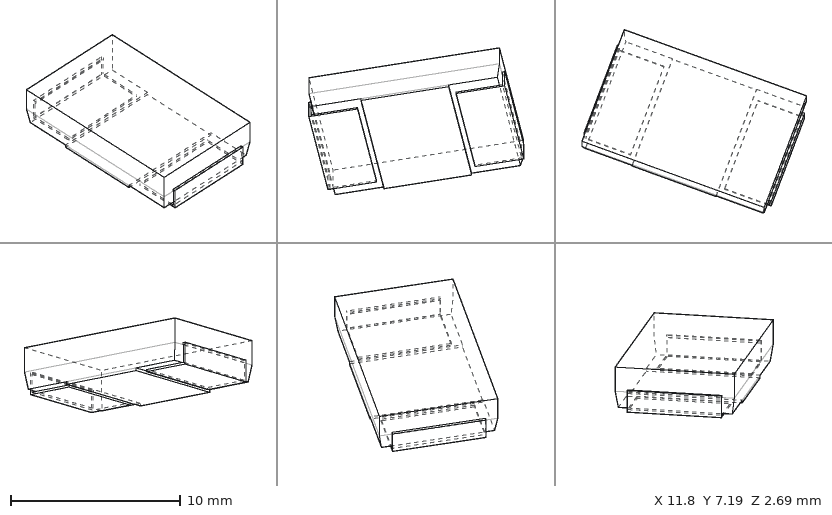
import cadquery as cq

total_length = 11.81
total_height = 2.69

housing_width = 7.19
housing_end_inset = 0.16
housing_length = total_length - 2 * housing_end_inset
taper_inset = 0.16
taper_top = 1.2
foot_height = 0.17
foot_length = 5.29
underside_length = housing_length - 2 * taper_inset
underside_width = housing_width - 2 * taper_inset

terminal_thickness = 0.13
terminal_width = 5.68
terminal_reach = 2.94
terminal_height = taper_top + terminal_thickness


def make_housing():
    """Moulded housing with its foot, as one solid."""
    upper_block = (
        cq.Workplane("XY", origin=(0, 0, taper_top))
        .rect(housing_length, housing_width)
        .extrude(total_height - taper_top)
    )
    lower_block = (
        cq.Workplane("XY", origin=(0, 0, foot_height))
        .rect(underside_length, underside_width)
        .workplane(offset=taper_top - foot_height)
        .rect(housing_length, housing_width)
        .loft(ruled=True)
    )
    foot = cq.Workplane("XY").rect(foot_length, underside_width).extrude(foot_height)
    return upper_block.union(lower_block).union(foot)


def make_terminal(side):
    """C-shaped terminal at the -X (side = -1) or +X (side = 1) end."""
    outer_x = side * total_length / 2
    inner_x = outer_x - side * terminal_thickness
    leg_tip_x = outer_x - side * terminal_reach
    lip_tip_x = side * housing_length / 2
    return (
        cq.Workplane("XZ")
        .moveTo(leg_tip_x, 0)
        .lineTo(outer_x, 0)
        .lineTo(outer_x, terminal_height)
        .lineTo(lip_tip_x, terminal_height)
        .lineTo(lip_tip_x, taper_top)
        .lineTo(inner_x, taper_top)
        .lineTo(inner_x, terminal_thickness)
        .lineTo(leg_tip_x, terminal_thickness)
        .close()
        .extrude(terminal_width / 2, both=True)
    )


housing = make_housing()
terminals = [make_terminal(side) for side in (-1, 1)]

result = cq.Compound.makeCompound([housing.val(), *[terminal.val() for terminal in terminals]])